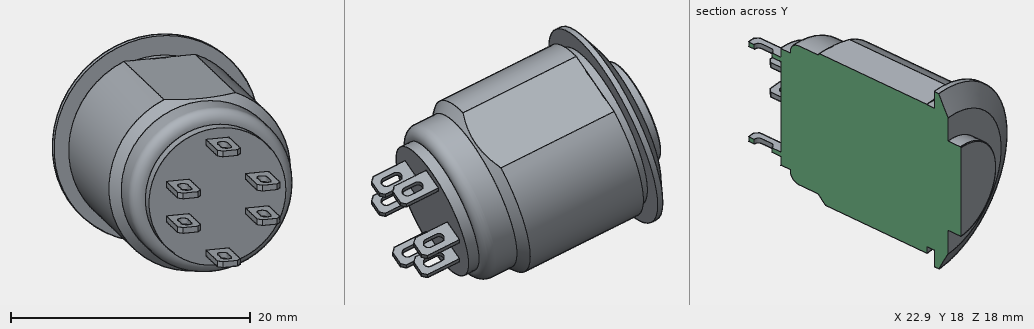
import cadquery as cq


button_diameter = 9.2
button_edge = 0.07
button_height = 1.4
flange_front_diameter = 13.95
flange_diameter = 18.0
bevel_length = 1.0
flange_rim = 0.5

groove_diameter = 14.6
groove_length = 0.78
body_diameter = 15.94
body_length = 10.95
body_taper = 0.8
flat_height = 7.33

housing_diameter = 14.3
housing_length = 3.0
housing_fillet = 1.0
cap_diameter = 12.0
cap_length = 1.0

terminal_tip = 22.9
terminal_width = 2.02
terminal_thickness = 0.5
terminal_corner = 0.37
terminal_root = 0.23
eyelet_length = 1.88
eyelet_width = 0.87
eyelet_tip_gap = 0.62
center_terminal_z = 4.85
side_terminal_y = 3.48
side_terminal_z = 1.5

flange_front = button_height
rim_start = flange_front + bevel_length
flange_back = rim_start + flange_rim
body_start = flange_back + groove_length
body_end = body_start + body_length
housing_start = body_end + body_taper
housing_end = housing_start + housing_length
cap_end = housing_end + cap_length


def cylinder(start, end, diameter):
    """Cylinder on the X axis between two stations."""
    return cq.Workplane("YZ", origin=(start, 0, 0)).circle(diameter / 2).extrude(end - start)


def make_button():
    """Button with a finely chamfered front edge."""
    return cylinder(0, flange_back, button_diameter).faces("<X").chamfer(button_edge)


def make_flange():
    """Round flange, bevelled towards the button."""
    profile = [
        (flange_front, 0),
        (flange_front, flange_front_diameter / 2),
        (rim_start, flange_diameter / 2),
        (flange_back, flange_diameter / 2),
        (flange_back, 0),
    ]
    return cq.Workplane("XY").polyline(profile).close().revolve(360, (0, 0), (1, 0))


def make_body():
    """Body tapering to the rear housing, with one flat on its +Z side."""
    profile = [
        (body_start, 0),
        (body_start, body_diameter / 2),
        (body_end, body_diameter / 2),
        (housing_start, housing_diameter / 2),
        (housing_start, 0),
    ]
    body = cq.Workplane("XY").polyline(profile).close().revolve(360, (0, 0), (1, 0))
    above_flat = (
        cq.Workplane("XY", origin=(0, 0, flat_height))
        .rect(2 * terminal_tip, body_diameter)
        .extrude(body_diameter)
    )
    return body.cut(above_flat)


def make_housing():
    """Rear housing with a rounded back edge."""
    housing = cylinder(housing_start, housing_end, housing_diameter)
    return housing.faces(">X").edges().fillet(housing_fillet)


def make_terminal(y, z):
    """Flat terminal with clipped tip corners and a rounded eyelet, rooted in the cap."""
    root = cap_end - terminal_root
    length = terminal_tip - root
    eyelet_center = terminal_tip - eyelet_tip_gap - eyelet_length / 2
    blade = (
        cq.Workplane("XY", origin=(root + length / 2, y, z))
        .box(length, terminal_width, terminal_thickness)
        .edges("|Z and >X")
        .chamfer(terminal_corner)
    )
    eyelet = (
        cq.Workplane("XY", origin=(eyelet_center, y, z))
        .slot2D(eyelet_length, eyelet_width)
        .extrude(terminal_thickness, both=True)
    )
    return blade.cut(eyelet)


result = make_button().union(make_flange())
result = result.union(cylinder(flange_back, body_start, groove_diameter))
result = result.union(make_body())
result = result.union(make_housing())
result = result.union(cylinder(housing_end, cap_end, cap_diameter))

for side in (-1, 1):
    result = result.union(make_terminal(0, side * center_terminal_z))
    for y in (-side_terminal_y, side_terminal_y):
        result = result.union(make_terminal(y, side * side_terminal_z))